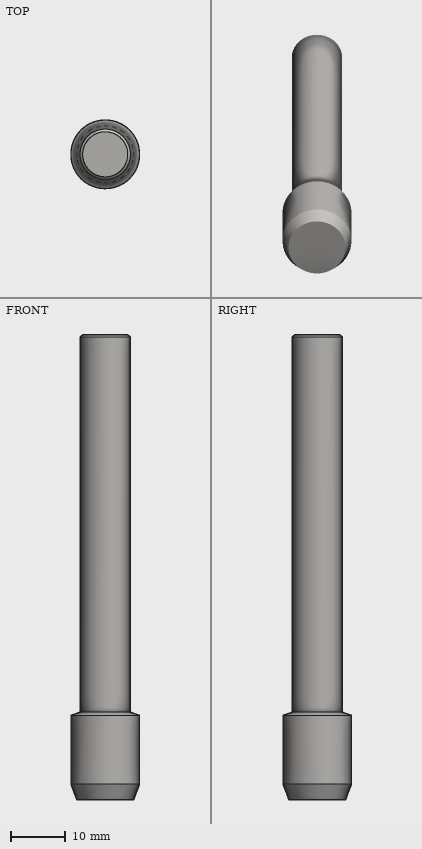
import cadquery as cq

total_length = 85.7

rod_radius = 9.3 / 2
rod_chamfer_width = 0.5
rod_chamfer_height = 0.4

collar_radius = 12.7 / 2
nose_radius = 10.5 / 2
nose_height = 2.9
collar_body_height = 12.7
shoulder_height = 0.6

shoulder_edge_z = nose_height + collar_body_height
collar_top_z = shoulder_edge_z + shoulder_height
rod_chamfer_z = total_length - rod_chamfer_height


def turn(half_section):
    """Revolve a closed (radius, height) outline around the Z axis."""
    axis_start = (0, 0, 0)
    axis_end = (0, 1, 0)
    return cq.Workplane("XZ").polyline(half_section).close().revolve(360, axis_start, axis_end)


def make_collar():
    """Solid collar whose shoulder narrows to a flat seat as wide as the rod."""
    return turn([
        (0, 0),
        (nose_radius, 0),
        (collar_radius, nose_height),
        (collar_radius, shoulder_edge_z),
        (rod_radius, collar_top_z),
        (0, collar_top_z),
    ])


def make_rod():
    """Rod standing on the collar's flat seat."""
    return turn([
        (0, collar_top_z),
        (rod_radius, collar_top_z),
        (rod_radius, rod_chamfer_z),
        (rod_radius - rod_chamfer_width, total_length),
        (0, total_length),
    ])


collar = make_collar()
rod = make_rod()

result = cq.Compound.makeCompound([collar.val(), rod.val()])